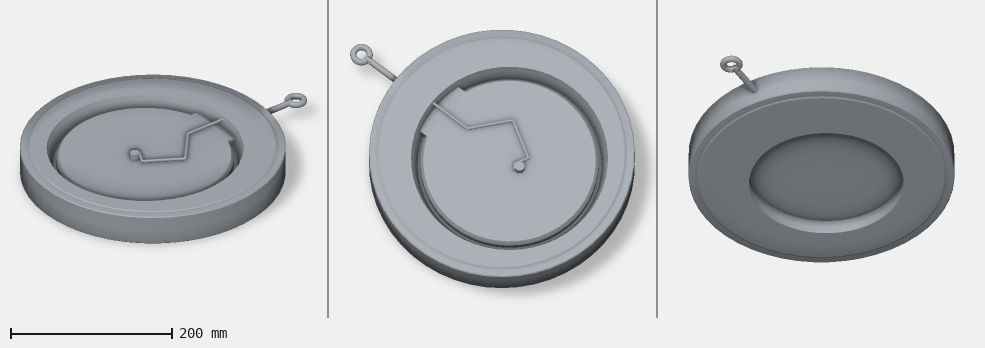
import cadquery as cq

body_diameter = 330.0
height = 42.0
rim_step = 1.2
rim_chamfer = 1.2
face_foot_radius = 154.8
face_top_radius = 152.5

bore_y = -12.0
mouth_radius = 122.2
seat_radius = 114.0
seat_depth = 21.7
port_diameter = 192.0

flap_radius = 110.5
flap_depth = 9.2
flap_chamfer_width = 3.5
flap_chamfer_drop = 5.0
tab_width = 75.5
tab_start_y = 72.5
tab_crest_y = 95.5
tab_end_y = 114.5
tab_slope_drop = 6.0

stud_diameter = 12.0
stud_y = -28.0
stud_top_depth = 0.5
wire_diameter = 3.5
wire_depth = 5.0
wire_points = [(0, 114.5), (0, 54.5), (44.0, 17.3), (16.5, -29.0), (0.5, -21.0), (-7.0, -25.5)]

overall_length = 402.0
rod_diameter = 8.0
eye_hole_diameter = 12.0
neck_diameter = 7.0
rod_inner_y = 144.7
rod_outer_y = 208.0
neck_end_y = 217.0
eye_gap_angle = 34.0

body_radius = body_diameter / 2
top_z = height / 2
seat_z = top_z - seat_depth
flap_z = top_z - flap_depth


def cylinder_between(start, end, diameter):
    axis = cq.Vector(*end) - cq.Vector(*start)
    return cq.Workplane(cq.Solid.makeCylinder(diameter / 2, axis.Length, cq.Vector(*start), axis))


def make_body():
    rim_z = top_z - rim_step
    blank = (
        cq.Workplane("XY").workplane(offset=-rim_z).circle(body_radius).extrude(2 * rim_z)
        .edges().chamfer(rim_chamfer)
    )
    raised_faces = (
        cq.Workplane("XZ")
        .polyline([
            (0, -top_z), (face_top_radius, -top_z), (face_foot_radius, -rim_z),
            (face_foot_radius, rim_z), (face_top_radius, top_z), (0, top_z),
        ])
        .close().revolve(360, (0, 0, 0), (0, 1, 0))
    )
    port_radius = port_diameter / 2
    bore = (
        cq.Workplane("XZ")
        .polyline([
            (0, -top_z), (port_radius, -top_z), (port_radius, seat_z),
            (seat_radius, seat_z), (mouth_radius, top_z), (0, top_z),
        ])
        .close().revolve(360, (0, 0, 0), (0, 1, 0))
        .translate((0, bore_y, 0))
    )
    return blank.union(raised_faces).cut(bore)


def make_flap():
    disc = (
        cq.Workplane("XY").workplane(offset=seat_z).center(0, bore_y)
        .circle(flap_radius).extrude(flap_z - seat_z)
        .faces(">Z").edges().chamfer(flap_chamfer_drop, flap_chamfer_width)
    )
    beyond_crest = (
        cq.Workplane("XY").workplane(offset=seat_z)
        .center(0, tab_crest_y + flap_radius / 2)
        .rect(tab_width, flap_radius).extrude(flap_z - seat_z)
    )
    tab = (
        cq.Workplane("YZ")
        .polyline([
            (tab_start_y, seat_z), (tab_start_y, flap_z), (tab_crest_y, flap_z),
            (tab_end_y, flap_z - tab_slope_drop), (tab_end_y, seat_z),
        ])
        .close().extrude(tab_width / 2, both=True)
    )
    return disc.cut(beyond_crest).union(tab)


def make_stud():
    return cylinder_between((0, stud_y, seat_z), (0, stud_y, top_z - stud_top_depth), stud_diameter)


def make_spring():
    wire_z = top_z - wire_depth
    path = cq.Workplane("XY").workplane(offset=wire_z).polyline(wire_points)
    return (
        cq.Workplane("XZ", origin=(*wire_points[0], wire_z))
        .circle(wire_diameter / 2).sweep(path, transition="round")
    )


def make_eye_bolt():
    eye_radius = (eye_hole_diameter + rod_diameter) / 2
    eye_y = overall_length - body_radius - eye_radius - rod_diameter / 2
    gap_start_angle = 270 + eye_gap_angle / 2
    eye = (
        cq.Workplane("XZ").center(eye_radius, 0).circle(rod_diameter / 2)
        .revolve(360 - eye_gap_angle, (-eye_radius, 0, 0), (-eye_radius, 1, 0))
        .rotate((0, 0, 0), (0, 0, 1), gap_start_angle)
        .translate((0, eye_y, 0))
    )
    rod = cylinder_between((0, rod_inner_y, 0), (0, rod_outer_y, 0), rod_diameter)
    neck = cylinder_between((0, rod_outer_y, 0), (0, neck_end_y, 0), neck_diameter)
    return rod.union(neck).union(eye)


result = make_body().union(make_flap()).union(make_stud()).union(make_spring()).union(make_eye_bolt())